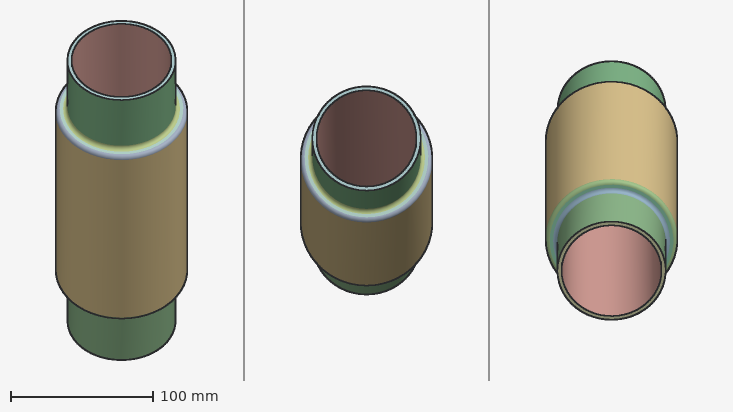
import cadquery as cq

length = 268.0
pipe_diameter = 76.0
bore_diameter = 70.2
sleeve_diameter = 92.7
sleeve_length = 168.0

shoulder_radius = 3.0

edge_tolerance = 0.03


def cylinder(diameter, height):
    """Cylinder on the Z axis, centred on the origin."""
    return cq.Workplane("XY").cylinder(height, diameter / 2)


def sleeve_end_edges(body, diameter):
    """Circular edges of the given diameter at both ends of the sleeve."""

    def is_wanted(edge):
        radius_error = abs(edge.radius() - diameter / 2)
        height_error = abs(abs(edge.Center().z) - sleeve_length / 2)
        return max(radius_error, height_error) < edge_tolerance

    return body.edges("%CIRCLE").filter(is_wanted)


body = cylinder(pipe_diameter, length).union(cylinder(sleeve_diameter, sleeve_length))

for diameter in (sleeve_diameter, pipe_diameter):
    body = sleeve_end_edges(body, diameter).fillet(shoulder_radius)

result = body.cut(cylinder(bore_diameter, length))